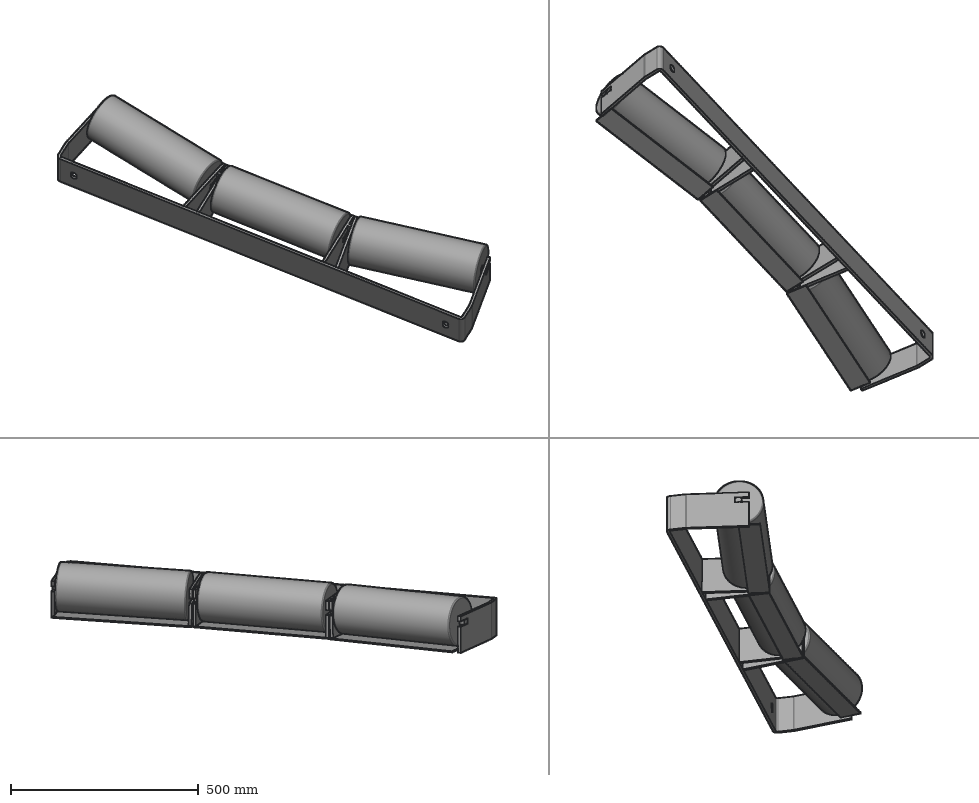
import cadquery as cq
import math

frame_length = 1210.0
frame_height = 100.0
sheet = 8.0
frame_depth = 220.0
end_bend_y = 55.0
bend_radius = 12.0
mount_hole_x = 553.0
mount_hole_width = 17.0
mount_hole_height = 25.0

roller_radius = 67.0
roller_length = 353.0
rim_fillet = 4.0
axle_diameter = 19.0
axle_flats = 15.0
middle_gap = 6.0
outer_gap = 7.0

middle_center = (0.0, 126.0, 68.4)
outer_x = 392.0
outer_y = 160.0
outer_z = 74.0
outer_yaw = 9.8
outer_tilt = 1.6

bracket_depth = 182.0
web_y = 148.0
web_lift = 2.0

strip_thickness = 4.0
outer_strip_width = 58.0
outer_strip_end = 180.0

half_roller = roller_length / 2
middle_reach = half_roller + middle_gap + sheet
outer_reach = half_roller + outer_gap + sheet
plate_drop = middle_center[2]
plate_rise = frame_height - plate_drop


def at_middle(body):
    """Moves a body from the roller frame (X along the axle) to the middle roller."""
    return body.translate(middle_center)


def at_outer(body, side):
    """Moves a body from the roller frame to the left (-1) or right (+1) outer roller."""
    body = body.rotate((0, 0, 0), (0, 1, 0), -side * outer_tilt)
    body = body.rotate((0, 0, 0), (0, 0, 1), side * outer_yaw)
    return body.translate((side * outer_x, outer_y, outer_z))


def box(x_range, y_range, z_range):
    """A box given by its lower and upper limits along X, Y and Z."""
    size = [high - low for low, high in (x_range, y_range, z_range)]
    corner = (x_range[0], y_range[0], z_range[0])
    return cq.Workplane("XY").box(*size, centered=False).translate(corner)


def axle_cylinder(radius, reach):
    """A cylinder along X that reaches equally far to both sides of the origin."""
    return cq.Workplane("YZ", origin=(-reach, 0, 0)).circle(radius).extrude(2 * reach)


def make_roller(reach):
    """A roller shell with rounded rims, on an axle flatted to fit the plate slots."""
    shell = axle_cylinder(roller_radius, half_roller).edges("%CIRCLE").fillet(rim_fillet)
    axle = axle_cylinder(axle_diameter / 2, reach)
    flats = cq.Workplane("XY").box(2 * reach, axle_diameter, axle_flats)
    return shell.union(axle.intersect(flats))


def make_strip(x_start, x_end, width):
    """A strip below the bracket plates, from under the axle to the rear."""
    return box((x_start, x_end), (0, width), (-plate_drop - strip_thickness, -plate_drop))


def make_slot(reach, side):
    """The cutter for an axle slot, open to the rear, in the plate at one end of a roller."""
    near_face, far_face = sorted((side * (reach - sheet), side * reach))
    return box(
        (near_face, far_face),
        (-axle_diameter / 2, frame_depth),
        (-axle_flats / 2, axle_flats / 2),
    )


def make_plate(reach, side):
    """An upright plate across one end of a roller, long enough to be trimmed in place."""
    near_face, far_face = sorted((side * (reach - sheet), side * reach))
    return box((near_face, far_face), (-frame_depth, frame_depth), (-plate_drop, plate_rise))


def bent_block(inset, depth, radius):
    """A block with the plan of the frame, moved inward by the sheet thickness `inset`."""
    slope = math.tan(math.radians(outer_yaw))
    side_x = frame_length / 2 - inset
    bend_y = end_bend_y + inset * math.tan(math.radians(outer_yaw / 2))
    rear_x = side_x - (depth - bend_y) * slope
    right_side = [(side_x, inset), (side_x, bend_y), (rear_x, depth)]
    left_side = [(-x, y) for x, y in reversed(right_side)]
    block = cq.Workplane("XY").polyline(right_side + left_side).close().extrude(frame_height)
    return block.edges("|Z").edges("not >Y").fillet(radius)


def make_frame():
    """The bent bar with its mounting holes and the slots for the outer axles."""
    inner_radius = bend_radius - sheet
    overshoot = 12.0
    body = bent_block(0, frame_depth, bend_radius)
    body = body.cut(bent_block(sheet, frame_depth + overshoot, inner_radius))
    holes = (
        cq.Workplane("XZ")
        .pushPoints([(-mount_hole_x, frame_height / 2), (mount_hole_x, frame_height / 2)])
        .slot2D(mount_hole_height, mount_hole_width, 90)
        .extrude(-2 * sheet)
    )
    body = body.cut(holes)
    for side in (-1, 1):
        slot = make_slot(outer_reach + sheet, side).union(make_slot(outer_reach, side))
        body = body.cut(at_outer(slot, side))
    return body


def make_bracket(side):
    """A slanted and a straight plate joined by a web, standing behind the frame bar."""
    slanted = at_outer(make_plate(outer_reach, -side), side)
    straight = at_middle(make_plate(middle_reach, side))
    space = box((-frame_length, frame_length), (sheet, bracket_depth), (-frame_height, 2 * frame_height))
    plates = slanted.union(straight).intersect(space)

    yaw = math.radians(outer_yaw)
    tilt = math.radians(outer_tilt)
    straight_x = middle_reach - sheet / 2
    plate_center = outer_reach - sheet / 2
    slanted_x = outer_x - plate_center * math.cos(tilt) * math.cos(yaw)
    slanted_y = outer_y - plate_center * math.cos(tilt) * math.sin(yaw)
    slanted_x -= (web_y - slanted_y) * math.tan(yaw)
    web = box(
        sorted((side * straight_x, side * slanted_x)),
        (web_y - sheet / 2, web_y + sheet / 2),
        (web_lift, frame_height),
    )
    body = plates.union(web)
    body = body.cut(at_outer(make_slot(outer_reach, -side), side))
    return body.cut(at_middle(make_slot(middle_reach, side)))


frame = make_frame()
brackets = [make_bracket(side) for side in (-1, 1)]

rollers = [at_middle(make_roller(middle_reach))]
middle_strip_width = bracket_depth - middle_center[1]
strips = [at_middle(make_strip(-middle_reach, middle_reach, middle_strip_width))]
for side in (-1, 1):
    rollers.append(at_outer(make_roller(outer_reach), side))
    x_start, x_end = sorted((side * outer_strip_end, -side * outer_reach))
    strips.append(at_outer(make_strip(x_start, x_end, outer_strip_width), side))

bodies = [frame, *brackets, *rollers, *strips]
result = cq.Compound.makeCompound([body.solids().val() for body in bodies])